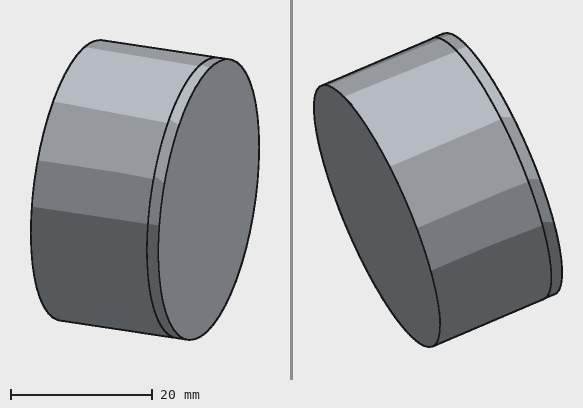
import cadquery as cq

lens_radius = 20.0
total_length = 19.25
rear_thickness = 1.7
dish_depth = 5.1

front_length = total_length - rear_thickness
dish_radius = (lens_radius**2 + dish_depth**2) / (2 * dish_depth)


def make_front_lens():
    """Thick element with a spherical dish across its whole -X face."""
    half_profile = (
        cq.Workplane("XY")
        .moveTo(dish_depth, 0)
        .lineTo(front_length, 0)
        .lineTo(front_length, -lens_radius)
        .lineTo(0, -lens_radius)
        .radiusArc((dish_depth, 0), -dish_radius)
        .close()
    )
    return half_profile.revolve(360, (0, 0, 0), (1, 0, 0))


def make_rear_lens():
    """Thin flat element against the +X face of the front lens."""
    return cq.Workplane("YZ", origin=(front_length, 0, 0)).circle(lens_radius).extrude(rear_thickness)


front_lens = make_front_lens()
rear_lens = make_rear_lens()

result = cq.Compound.makeCompound([front_lens.val(), rear_lens.val()])